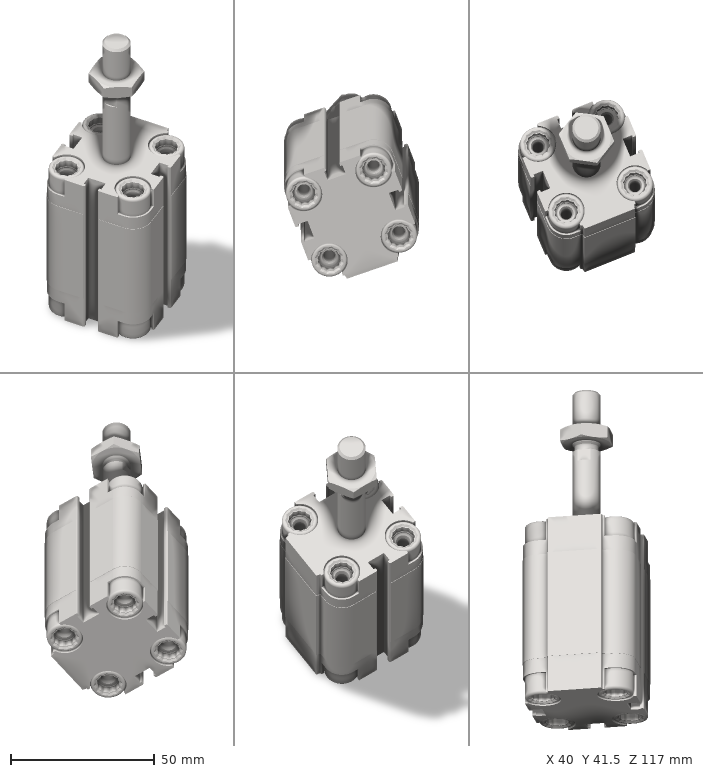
import cadquery as cq
import math

housing_height = 64.5
half_width = 20.0
corner_radius = 7.0
end_cap_height = 13.0
end_cap_inset = 0.1

pad_height = 1.5
pad_top_half_width = 9.6
pad_base_half_width = 9.8
pad_base_fillet = 0.4

slot_depth = 4.9
slot_half_width = 3.4
mouth_half_width = 2.6
lip_thickness = 1.4
mouth_chamfer = 0.5

screw_offset = half_width - corner_radius
head_radius = 12.5 / 2
head_round = 0.9
counterbore_radius = 6.4
corner_cut_depth = 7.7
head_top = housing_height - 0.2
corner_cut_start = 10.4
through_hole_radius = 2.0
star_points = 12
lead_in_tip_radius = 5.1
lead_in_root_radius = 4.8
lead_in_depth = 0.6
lead_in_taper = 0.7
socket_tip_radius = 4.2
socket_root_radius = 3.9
socket_depth = 3.2
floor_recess_radius = 3.6
floor_recess_depth = 0.4
funnel_radius = 5.0 / 2
funnel_depth = 1.2

rod_radius = 10.0 / 2
rod_seat_depth = end_cap_height
rod_top = 117.0
rod_top_chamfer = 0.8
neck_radius = 8.5 / 2
neck_bottom = 95.0
neck_top = 97.1
flat_bottom = 90.9
flat_half_gap = 8.8 / 2

nut_across_flats = 17.0
nut_bottom = 98.2
nut_height = 5.0
nut_chamfer_angle = math.radians(20)


def cylinder(radius, bottom, height):
    return cq.Workplane("XY").workplane(offset=bottom).circle(radius).extrude(height)


def block(x_min, x_max, y_min, y_max, height):
    return (
        cq.Workplane("XY")
        .box(x_max - x_min, y_max - y_min, height, centered=False)
        .translate((x_min, y_min, 0))
    )


def outer_form(inset, bottom, height):
    """Rounded square with the raised pad, all sides moved in by the inset."""
    side = half_width - inset
    top = half_width + pad_height - inset
    square = (
        cq.Workplane("XY")
        .workplane(offset=bottom)
        .rect(2 * side, 2 * side)
        .extrude(height)
        .edges("|Z")
        .fillet(corner_radius - inset)
    )
    top_x = pad_top_half_width - inset
    base_x = pad_base_half_width - inset
    fillet_end_x = base_x + pad_base_fillet
    pad = (
        cq.Workplane("XY")
        .workplane(offset=bottom)
        .moveTo(-fillet_end_x, 0)
        .lineTo(-fillet_end_x, side)
        .radiusArc((-base_x, side + pad_base_fillet), -pad_base_fillet)
        .lineTo(-top_x, top)
        .lineTo(top_x, top)
        .lineTo(base_x, side + pad_base_fillet)
        .radiusArc((fillet_end_x, side), -pad_base_fillet)
        .lineTo(fillet_end_x, 0)
        .close()
        .extrude(height)
    )
    return square.union(pad)


def side_slot():
    """T-slot with a chamfered mouth, cut into the -Y side over the full height."""
    face = -half_width
    right_half = [
        (mouth_half_width + mouth_chamfer, face),
        (mouth_half_width, face + mouth_chamfer),
        (mouth_half_width, face + lip_thickness),
        (slot_half_width, face + lip_thickness),
        (slot_half_width, face + slot_depth),
    ]
    left_half = [(-x, y) for x, y in reversed(right_half)]
    return cq.Workplane("XY").polyline(right_half + left_half).close().extrude(housing_height)


def star_outline(tip_radius, root_radius):
    points = []
    for i in range(2 * star_points):
        radius = root_radius if i % 2 else tip_radius
        angle = math.pi * i / star_points
        points.append((radius * math.cos(angle), radius * math.sin(angle)))
    return points


def corner_cut():
    """What is removed at the (+X, +Y) corner of the upper cap to leave a round screw head there."""
    bottom = housing_height - corner_cut_depth
    corner = block(corner_cut_start, half_width, corner_cut_start, half_width, corner_cut_depth)
    corner = corner.translate((0, 0, bottom))
    head = cylinder(head_radius, bottom, corner_cut_depth).translate((screw_offset, screw_offset, 0))
    return corner.cut(head)


def head_rounding():
    """Counterbore that leaves a screw head with a rounded upper rim, clear of the cap around it."""
    inner = head_radius - head_round
    low = head_top - head_round
    mid = head_round * math.sqrt(0.5)
    return (
        cq.Workplane("XZ")
        .moveTo(0, housing_height)
        .lineTo(0, head_top)
        .lineTo(inner, head_top)
        .threePointArc((inner + mid, low + mid), (head_radius, low))
        .lineTo(counterbore_radius, low)
        .lineTo(counterbore_radius, housing_height)
        .close()
        .revolve(360, (0, 0, 0), (0, 1, 0))
    )


def screw_socket():
    """Star socket on the Z axis, with a tapered lead-in and a recess and funnel in its floor."""
    ledge = head_top - lead_in_depth
    floor = head_top - socket_depth
    lead_in = (
        cq.Workplane("XY")
        .workplane(offset=ledge)
        .polyline(star_outline(lead_in_tip_radius - lead_in_taper, lead_in_root_radius - lead_in_taper))
        .close()
        .workplane(offset=lead_in_depth)
        .polyline(star_outline(lead_in_tip_radius, lead_in_root_radius))
        .close()
        .loft(ruled=True)
    )
    socket = (
        cq.Workplane("XY")
        .workplane(offset=floor)
        .polyline(star_outline(socket_tip_radius, socket_root_radius))
        .close()
        .extrude(ledge - floor)
    )
    funnel_top = floor - floor_recess_depth
    recess = cylinder(floor_recess_radius, funnel_top, floor_recess_depth)
    funnel = (
        cq.Workplane("XY")
        .workplane(offset=funnel_top - funnel_depth)
        .circle(through_hole_radius)
        .workplane(offset=funnel_depth)
        .circle(funnel_radius)
        .loft()
    )
    return lead_in.union(socket).union(recess).union(funnel)


def make_housing():
    band_height = housing_height - 2 * end_cap_height
    body = outer_form(end_cap_inset, 0, housing_height)
    body = body.union(outer_form(0, end_cap_height, band_height))

    for angle in (-90, 0, 90):
        body = body.cut(side_slot().rotate((0, 0, 0), (0, 0, 1), angle))

    screw_cuts = head_rounding().union(screw_socket()).translate((screw_offset, screw_offset, 0))
    upper_cut = screw_cuts.union(corner_cut())
    lower_cut = upper_cut.mirror("XY").translate((0, 0, housing_height))
    hole = cylinder(through_hole_radius, 0, housing_height).translate((screw_offset, screw_offset, 0))
    for x_side in (False, True):
        for y_side in (False, True):
            for tool in (upper_cut, lower_cut, hole):
                placed = tool.mirror("YZ") if x_side else tool
                placed = placed.mirror("XZ") if y_side else placed
                body = body.cut(placed)

    return body.cut(cylinder(rod_radius, housing_height - rod_seat_depth, rod_seat_depth))


def make_rod():
    seat = housing_height - rod_seat_depth
    shoulder = neck_top + rod_radius - neck_radius
    rod = (
        cq.Workplane("XZ")
        .moveTo(0, seat)
        .lineTo(rod_radius, seat)
        .lineTo(rod_radius, neck_bottom)
        .lineTo(neck_radius, neck_bottom)
        .lineTo(neck_radius, neck_top)
        .lineTo(rod_radius, shoulder)
        .lineTo(rod_radius, rod_top - rod_top_chamfer)
        .lineTo(rod_radius - rod_top_chamfer, rod_top)
        .lineTo(0, rod_top)
        .close()
        .revolve(360, (0, 0, 0), (0, 1, 0))
    )
    flat_height = neck_bottom - flat_bottom
    flat = block(-rod_radius, rod_radius, flat_half_gap, rod_radius, flat_height)
    flat = flat.translate((0, 0, flat_bottom))
    return rod.cut(flat).cut(flat.mirror("XZ"))


def make_nut():
    flat_radius = nut_across_flats / 2
    tip_radius = flat_radius / math.cos(math.pi / 6)
    chamfer_height = (tip_radius - flat_radius) * math.tan(nut_chamfer_angle)
    nut = (
        cq.Workplane("XY")
        .workplane(offset=nut_bottom)
        .polygon(6, 2 * tip_radius)
        .extrude(nut_height)
        .rotate((0, 0, 0), (0, 0, 1), 30)
    )
    blank = cylinder(tip_radius, nut_bottom, nut_height)
    blank = blank.edges().chamfer(chamfer_height, tip_radius - flat_radius)
    return nut.intersect(blank).cut(cylinder(rod_radius, nut_bottom, nut_height))


housing = make_housing()
rod = make_rod()
nut = make_nut()
result = cq.Compound.makeCompound([housing.val(), rod.val(), nut.val()])